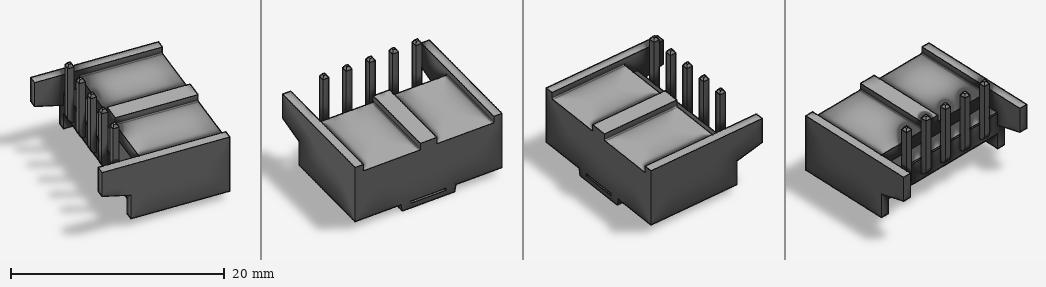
import cadquery as cq


width = 16.05
length = 13.15
height = 10.11

wall_thickness = 0.9
wall_top = 7.2
wall_tip_bottom = 4.38
wall_root_bottom = 3.6
housing_bottom = 0.8

block_front = 2.97
shroud_front = 4.6
shroud_top = 6.45
block_top = 5.07
block_bottom = 2.5
block_chamfer = 0.1

rib_width = 1.8
root_fillet = 0.11

latch_length = 2.87
latch_top_width = 6.02
latch_bottom_width = 5.71
latch_slot_width = 3.79
latch_slot_depth = 0.24

pin_count = 5
pin_pitch = 2.54
pin_size = 0.66
pin_bottom = 3.27
pin_tip_size = 0.29
pin_tip_height = 0.32

inner_half = width / 2 - wall_thickness
overlap = 0.16


def box(x_min, x_max, y_min, y_max, z_min, z_max):
    """Axis-aligned box between the given limits."""
    return cq.Workplane("XY").box(
        x_max - x_min, y_max - y_min, z_max - z_min, centered=False
    ).translate((x_min, y_min, z_min))


def side_wall(x_min):
    """Plate whose upper part overhangs forward with a sloped underside."""
    outline = [
        (length, housing_bottom),
        (length, wall_top),
        (0, wall_top),
        (0, wall_tip_bottom),
        (block_front, wall_root_bottom),
        (block_front, housing_bottom),
    ]
    return cq.Workplane("YZ", origin=(x_min, 0, 0)).polyline(outline).close().extrude(wall_thickness)


def pin_block():
    """Lower block in front of the shroud, bevelled along both front edges."""
    block = box(-inner_half, inner_half, block_front, shroud_front + overlap, block_bottom, block_top)
    return block.faces("<Y").edges("|X").chamfer(block_chamfer)


def root_blend(x_corner, direction):
    """Concave fillet strip along Y, from an upright face towards direction (+1 or -1)."""
    strip_length = length - shroud_front
    x_far = x_corner + direction * root_fillet
    z_far = shroud_top + root_fillet
    strip = box(min(x_corner, x_far), max(x_corner, x_far), shroud_front, length, shroud_top, z_far)
    round_cut = (
        cq.Workplane("XZ", origin=(x_far, length, z_far))
        .circle(root_fillet)
        .extrude(strip_length)
    )
    return strip.cut(round_cut)


def shroud():
    """Full-height body between the walls with its centre rib and root fillets."""
    body = box(-inner_half, inner_half, shroud_front, length, housing_bottom, shroud_top)
    rib = box(-rib_width / 2, rib_width / 2, shroud_front, length, shroud_top - overlap, wall_top)
    body = body.union(rib)
    for side in (-1, 1):
        body = body.union(root_blend(side * rib_width / 2, side))
        body = body.union(root_blend(side * inner_half, -side))
    return body


def latch():
    """Tapered bump under the rear of the housing, slotted next to the housing floor."""
    outline = [
        (-latch_top_width / 2, housing_bottom),
        (latch_top_width / 2, housing_bottom),
        (latch_bottom_width / 2, 0),
        (-latch_bottom_width / 2, 0),
    ]
    bump = cq.Workplane("XZ", origin=(0, length, 0)).polyline(outline).close().extrude(latch_length)
    slot = box(
        -latch_slot_width / 2, latch_slot_width / 2,
        length - latch_length, length,
        housing_bottom - latch_slot_depth, housing_bottom,
    )
    return bump.cut(slot)


def pin(x_center):
    """Upright square pin with a rounded outer bend and a tapered tip."""
    shoulder = height - pin_tip_height
    pin_front = block_front - pin_size
    half = pin_size / 2
    profile = (
        cq.Workplane("YZ", origin=(x_center - half, 0, 0))
        .moveTo(block_front + overlap, pin_bottom)
        .lineTo(block_front, pin_bottom)
        .radiusArc((pin_front, pin_bottom + pin_size), pin_size)
        .lineTo(pin_front, shoulder)
        .lineTo(block_front, shoulder)
        .lineTo(block_front, pin_bottom + pin_size)
        .lineTo(block_front + overlap, pin_bottom + pin_size)
        .close()
    )
    shaft = profile.extrude(pin_size)
    tip = (
        cq.Workplane("XY", origin=(x_center, block_front - half, shoulder))
        .rect(pin_size, pin_size)
        .workplane(offset=pin_tip_height)
        .rect(pin_tip_size, pin_tip_size)
        .loft(ruled=True)
    )
    return shaft.union(tip)


result = shroud().union(pin_block()).union(latch())
for wall_x in (-width / 2, inner_half):
    result = result.union(side_wall(wall_x))
for index in range(pin_count):
    result = result.union(pin((index - (pin_count - 1) / 2) * pin_pitch))